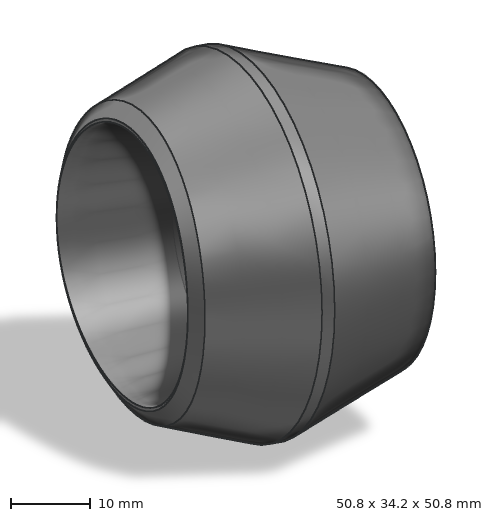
import cadquery as cq
import math

length = 34.2
outer_radius = 25.4
outlet_radius = 19.5
band_start = 17.1
band_width = 1.8
band_end = band_start + band_width
saddle_cone_slope = 0.354

bore_radius = 16.65
mouth_radius = 18.3

run_pipe_radius = 205.75
bevel_size = 1.6

saddle_depth = run_pipe_radius - math.sqrt(run_pipe_radius**2 - mouth_radius**2)
run_pipe_axis_y = -(length - saddle_depth) - run_pipe_radius
overrun = 1.0
blank_length = length + overrun


def revolve_about_y(outline):
    """Turn a closed outline of (radius, y) points around the Y axis."""
    return cq.Workplane("XY").polyline(outline).close().revolve(360, (0, 0, 0), (0, 1, 0))


def make_body():
    """Double-cone body with a narrow cylindrical band at its widest place."""
    end_radius = outer_radius - saddle_cone_slope * (blank_length - band_end)
    return revolve_about_y([
        (0, 0),
        (outlet_radius, 0),
        (outer_radius, -band_start),
        (outer_radius, -band_end),
        (end_radius, -blank_length),
        (0, -blank_length),
    ])


def make_saddle_cutter():
    """Slice of the run pipe, wide and long enough to hollow the whole end of the body."""
    crown_y = run_pipe_axis_y + run_pipe_radius
    edge_y = run_pipe_axis_y + math.sqrt(run_pipe_radius**2 - outer_radius**2)
    base_y = -(blank_length + overrun)
    return (
        cq.Workplane("XY")
        .moveTo(-outer_radius, edge_y)
        .threePointArc((0, crown_y), (outer_radius, edge_y))
        .lineTo(outer_radius, base_y)
        .lineTo(-outer_radius, base_y)
        .close()
        .extrude(outer_radius, both=True)
    )


def make_bore():
    """Straight bore from the outlet to the band, then flaring towards the saddle."""
    flare = (mouth_radius - bore_radius) / (length - band_end)
    end_radius = mouth_radius + flare * overrun
    return revolve_about_y([
        (0, overrun),
        (bore_radius, overrun),
        (bore_radius, -band_end),
        (end_radius, -blank_length),
        (0, -blank_length),
    ])


saddled_body = make_body().cut(make_saddle_cutter())
bevelled_body = saddled_body.faces("<Y").edges().chamfer(bevel_size)
result = bevelled_body.cut(make_bore())